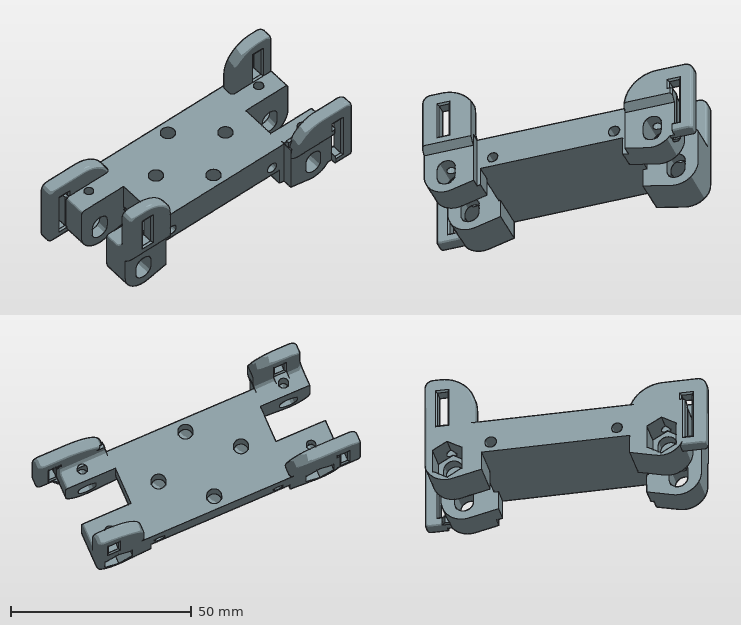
import cadquery as cq
import math

TOTAL_LENGTH = 86.1
OVERHANG_END = TOTAL_LENGTH / 2
OVERALL_WIDTH = 32.1
OVERALL_HEIGHT = 33.0

BODY_END = 37.0
DECK_WIDTH = 27.2
DECK_TOP = 17.5
DECK_BOTTOM = 7.6
NOTCH_END = 22.0
NOTCH_LEFT = 11.0
NOTCH_RIGHT = 21.9
FOOT_RIGHT = 30.1
FOOT_RADIUS = 6.55
FOOT_EDGE_Z = 2.1
FOOT_INNER_FRONT = 21.45
FOOT_INNER_BACK = 20.7
FOOT_WIDENING_Y = 22.4
EDGE_RADIUS = 1.0

BOLT_Y = BODY_END - FOOT_RADIUS
BOLT_Z = FOOT_RADIUS
BOLT_SLOT_WIDTH = 5.3
BOLT_SLOT_HEIGHT = 7.8
NUT_FLATS = 8.35
NUT_POCKET_HEIGHT = 11.5
NUT_POCKET_DEPTH = 7.75

DECK_HOLE_DIAMETER = 4.2
DECK_HOLE_DEPTH = 6.9
DRILL_POINT_ANGLE = 118.0
DECK_HOLE_SPREAD_X = 10.0
DECK_HOLE_SPREAD_Y = 12.5
CROSS_HOLE_Z = 10.5
CROSS_HOLE_BACK_Y = 18.1
CROSS_HOLE_FRONT_Y = -17.8
CROSS_HOLE_BACK_DIAMETER = 3.3
CROSS_HOLE_FRONT_DIAMETER = 3.0
LEFT_SMALL_HOLE_X = 6.2
RIGHT_SMALL_HOLE_X = 25.3
SMALL_HOLE_DIAMETER = 2.8
FRONT_LEFT_SMALL_HOLE_DIAMETER = 2.7

LEFT_PLATE_THICKNESS = 4.2
RIGHT_PLATE_INNER = 28.1
PLATE_INNER_Y = 22.5
PLATE_ARC_RADIUS = 10.1
PLATE_CORNER_RADIUS = 2.5
OVERHANG_BOTTOM = 2.6
FRONT_OVERHANG_TOP = 23.9
BACK_OVERHANG_TOP = 25.0
BACK_ARC_Y = PLATE_INNER_Y + PLATE_ARC_RADIUS
FRONT_LEFT_ARC_Y = 30.75
FRONT_RIGHT_ARC_Y = 31.3
PLATE_UNDERCUT_Z = 13.8
ROOT_RADIUS = 2.1
WEB_CHAMFER = 1.1

STRAP_CHAMFER = 0.5
STRAP_WIDTH = 2.9
UPRIGHT_STRAP_TOP = 28.6
BACK_UPRIGHT_STRAP_Y = 31.9
FRONT_UPRIGHT_STRAP_Y = 30.6
OVERHANG_STRAP_BOTTOM = 5.4
OVERHANG_STRAP_OUTER = 39.1
OVERHANG_STRAP_INNER = 36.1
OVERHANG_STRAP_DROP = 5.0

GROOVE_HEIGHT = 1.1
GROOVE_DEPTH = 0.5

FRONT = -1
BACK = 1


def box(x0, x1, y0, y1, z0, z1):
    return cq.Workplane("XY").box(x1 - x0, y1 - y0, z1 - z0, centered=False).translate((x0, y0, z0))


def side_plane(x):
    """Sketch plane whose local axes are Y and Z, extruding toward +X."""
    return cq.Workplane("YZ", origin=(x, 0, 0))


def foot(side, x0, x1, inner_y):
    """Foot with a round outer end and a bottom line tangent to that rounding."""
    reach = BOLT_Y - inner_y
    drop = BOLT_Z - FOOT_EDGE_Z
    tangent_angle = math.atan2(drop, reach) + math.acos(FOOT_RADIUS / math.hypot(reach, drop))
    tangent = (
        side * (BOLT_Y - FOOT_RADIUS * math.cos(tangent_angle)),
        BOLT_Z - FOOT_RADIUS * math.sin(tangent_angle),
    )
    arc_middle = (
        side * (BOLT_Y + FOOT_RADIUS * math.sqrt(0.5)),
        BOLT_Z - FOOT_RADIUS * math.sqrt(0.5),
    )
    solid = (
        side_plane(x0)
        .moveTo(side * inner_y, DECK_TOP)
        .lineTo(side * inner_y, FOOT_EDGE_Z)
        .lineTo(*tangent)
        .threePointArc(arc_middle, (side * BODY_END, BOLT_Z))
        .lineTo(side * BODY_END, DECK_TOP)
        .close()
        .extrude(x1 - x0)
    )
    end_face = ">Y" if side == BACK else "<Y"
    return solid.faces(end_face).edges(">Z").fillet(EDGE_RADIUS)


def plate(side, x0, x1, end_y, top, bottom, arc_y, inner_y=PLATE_INNER_Y):
    """End plate with a large inboard arc, a small outer corner and rounded rims."""
    arc_center_z = top - PLATE_ARC_RADIUS
    arc_reach = min(arc_y - inner_y, PLATE_ARC_RADIUS)
    arc_end_z = arc_center_z + math.sqrt(PLATE_ARC_RADIUS**2 - arc_reach**2)
    half_angle = math.asin(arc_reach / PLATE_ARC_RADIUS) / 2
    arc_middle = (
        side * (arc_y - PLATE_ARC_RADIUS * math.sin(half_angle)),
        arc_center_z + PLATE_ARC_RADIUS * math.cos(half_angle),
    )
    corner_inset = PLATE_CORNER_RADIUS * (1 - math.sqrt(0.5))
    solid = (
        side_plane(x0)
        .moveTo(side * inner_y, bottom)
        .lineTo(side * inner_y, arc_end_z)
        .threePointArc(arc_middle, (side * arc_y, top))
        .lineTo(side * (end_y - PLATE_CORNER_RADIUS), top)
        .threePointArc(
            (side * (end_y - corner_inset), top - corner_inset),
            (side * end_y, top - PLATE_CORNER_RADIUS),
        )
        .lineTo(side * end_y, bottom)
        .close()
        .extrude(x1 - x0)
    )
    end_side = ">Y" if side == BACK else "<Y"
    bottom_end = solid.faces("<Z").edges(end_side)
    return solid.faces("<X or >X").edges().add(bottom_end).fillet(EDGE_RADIUS)


def plate_root(side):
    """Concave fillet between the deck and a right plate, rounded at its outer end."""
    start_x = RIGHT_PLATE_INNER - ROOT_RADIUS
    center_z = DECK_TOP + ROOT_RADIUS
    buried_x = RIGHT_PLATE_INNER + EDGE_RADIUS
    buried_z = DECK_TOP - 2 * EDGE_RADIUS
    arc_middle = (
        start_x + ROOT_RADIUS * math.sqrt(0.5),
        center_z - ROOT_RADIUS * math.sqrt(0.5),
    )
    solid = (
        cq.Workplane("XZ", origin=(0, side * BODY_END, 0))
        .moveTo(start_x, buried_z)
        .lineTo(start_x, DECK_TOP)
        .threePointArc(arc_middle, (RIGHT_PLATE_INNER, center_z))
        .lineTo(buried_x, center_z)
        .lineTo(buried_x, buried_z)
        .close()
        .extrude(side * (BODY_END - PLATE_INNER_Y))
    )
    end_face = ">Y" if side == BACK else "<Y"
    return solid.faces(end_face).edges("%CIRCLE").fillet(EDGE_RADIUS)


def strap_slot(x0, x1, y0, y1, z0, z1):
    """Rectangular slot through a plate, chamfered at both mouths."""
    center = ((y0 + y1) / 2, (z0 + z1) / 2)
    width = y1 - y0 + 2 * STRAP_CHAMFER
    height = z1 - z0 + 2 * STRAP_CHAMFER
    near_mouth = side_plane(x0).center(*center).rect(width, height).extrude(STRAP_CHAMFER, taper=45)
    far_mouth = side_plane(x1).center(*center).rect(width, height).extrude(-STRAP_CHAMFER, taper=45)
    return box(x0, x1, y0, y1, z0, z1).union(near_mouth).union(far_mouth)


def upright_strap_slot(side, x0, x1, center_y):
    middle = side * center_y
    return strap_slot(
        x0, x1, middle - STRAP_WIDTH / 2, middle + STRAP_WIDTH / 2,
        DECK_TOP + STRAP_CHAMFER, UPRIGHT_STRAP_TOP,
    )


def overhang_strap_slot(side, x0, x1, plate_top):
    """Slot that reaches the foot end, and a little further inboard above the deck."""
    slot_top = plate_top - OVERHANG_STRAP_DROP
    y0, y1 = sorted((side * BODY_END, side * OVERHANG_STRAP_OUTER))
    slot = strap_slot(x0, x1, y0, y1, OVERHANG_STRAP_BOTTOM, slot_top)
    y0, y1 = sorted((side * OVERHANG_STRAP_INNER, side * OVERHANG_STRAP_OUTER))
    upper = strap_slot(x0, x1, y0, y1, OVERHANG_STRAP_BOTTOM, slot_top)
    above_deck = box(x0, x1, -OVERHANG_END, OVERHANG_END, DECK_TOP, OVERALL_HEIGHT)
    return slot.union(upper.intersect(above_deck))


def bolt_cuts(side):
    """Bolt slot through both feet, with a tall hexagonal nut pocket on the left."""
    slot = (
        side_plane(0).center(side * BOLT_Y, BOLT_Z)
        .slot2D(BOLT_SLOT_HEIGHT, BOLT_SLOT_WIDTH, 90)
        .extrude(OVERALL_WIDTH)
    )
    half_flats = NUT_FLATS / 2
    half_height = NUT_POCKET_HEIGHT / 2
    shoulder = half_height - half_flats * math.tan(math.radians(30))
    pocket = (
        side_plane(0).center(side * BOLT_Y, BOLT_Z)
        .polyline([
            (0, half_height), (half_flats, shoulder), (half_flats, -shoulder),
            (0, -half_height), (-half_flats, -shoulder), (-half_flats, shoulder),
        ])
        .close()
        .extrude(NUT_POCKET_DEPTH)
    )
    return slot.union(pocket)


def cross_hole(y, diameter):
    return side_plane(0).center(y, CROSS_HOLE_Z).circle(diameter / 2).extrude(OVERALL_WIDTH)


def small_hole(x, y, diameter):
    """Vertical hole from the deck down into a bolt slot."""
    start = cq.Workplane("XY", origin=(x, y, BOLT_Z))
    return start.circle(diameter / 2).extrude(DECK_TOP - BOLT_Z)


def deck_hole(x, y):
    """Blind drilled hole with a conical bottom."""
    radius = DECK_HOLE_DIAMETER / 2
    shoulder_z = DECK_TOP - DECK_HOLE_DEPTH
    tip_z = shoulder_z - radius / math.tan(math.radians(DRILL_POINT_ANGLE / 2))
    return (
        cq.Workplane("XZ", origin=(x, y, 0))
        .polyline([(0, tip_z), (radius, shoulder_z), (radius, DECK_TOP), (0, DECK_TOP)])
        .close()
        .revolve(360, (0, 0, 0), (0, 1, 0))
    )


result = box(0, DECK_WIDTH, -NOTCH_END, NOTCH_END, DECK_BOTTOM, DECK_TOP)
for side, inner_y in ((FRONT, FOOT_INNER_FRONT), (BACK, FOOT_INNER_BACK)):
    wide_part = foot(side, NOTCH_RIGHT, FOOT_RIGHT, inner_y)
    y0, y1 = sorted((0, side * FOOT_WIDENING_Y))
    wide_part = wide_part.cut(box(DECK_WIDTH, FOOT_RIGHT, y0, y1, 0, DECK_TOP))
    result = result.union(foot(side, 0, NOTCH_LEFT, inner_y)).union(wide_part)

corner = box(0, EDGE_RADIUS, BODY_END - EDGE_RADIUS, BODY_END, 0, DECK_TOP)
corner = corner.cut(
    cq.Workplane("XY")
    .center(EDGE_RADIUS, BODY_END - EDGE_RADIUS)
    .circle(EDGE_RADIUS)
    .extrude(DECK_TOP)
)
result = result.cut(corner)

result = result.union(
    plate(BACK, 0, LEFT_PLATE_THICKNESS, BODY_END, OVERALL_HEIGHT, BOLT_Z, BACK_ARC_Y)
)
front_left = plate(
    FRONT, 0, LEFT_PLATE_THICKNESS, OVERHANG_END, FRONT_OVERHANG_TOP, OVERHANG_BOTTOM,
    FRONT_LEFT_ARC_Y, inner_y=FOOT_INNER_FRONT,
)
result = result.union(front_left)

back_right = plate(
    BACK, RIGHT_PLATE_INNER, OVERALL_WIDTH, OVERHANG_END, BACK_OVERHANG_TOP, OVERHANG_BOTTOM, BACK_ARC_Y
)
front_right = plate(
    FRONT, RIGHT_PLATE_INNER, OVERALL_WIDTH, BODY_END, OVERALL_HEIGHT, BOLT_Z,
    FRONT_RIGHT_ARC_Y, inner_y=FRONT_RIGHT_ARC_Y - PLATE_ARC_RADIUS,
)
trim = box(RIGHT_PLATE_INNER, OVERALL_WIDTH, -PLATE_INNER_Y, 0, 0, OVERALL_HEIGHT)
front_right = front_right.cut(trim)

ledge = OVERALL_WIDTH - FOOT_RIGHT
undercut = (
    cq.Workplane("XZ", origin=(0, BODY_END, 0))
    .polyline([
        (FOOT_RIGHT, 0), (FOOT_RIGHT, PLATE_UNDERCUT_Z),
        (OVERALL_WIDTH, PLATE_UNDERCUT_Z + ledge), (OVERALL_WIDTH, 0),
    ])
    .close()
    .extrude(2 * BODY_END)
)
result = result.union(back_right.cut(undercut)).union(front_right.cut(undercut))
for side in (FRONT, BACK):
    result = result.union(plate_root(side))

web = (
    cq.Workplane("XY", origin=(0, 0, OVERHANG_BOTTOM))
    .polyline([
        (RIGHT_PLATE_INNER - WEB_CHAMFER, BODY_END), (RIGHT_PLATE_INNER, BODY_END + WEB_CHAMFER),
        (RIGHT_PLATE_INNER, BOLT_Y), (RIGHT_PLATE_INNER - WEB_CHAMFER, BOLT_Y),
    ])
    .close()
    .extrude(OVERHANG_STRAP_BOTTOM - STRAP_CHAMFER - OVERHANG_BOTTOM)
)
result = result.union(web)

result = result.cut(upright_strap_slot(BACK, 0, LEFT_PLATE_THICKNESS, BACK_UPRIGHT_STRAP_Y))
result = result.cut(upright_strap_slot(FRONT, RIGHT_PLATE_INNER, OVERALL_WIDTH, FRONT_UPRIGHT_STRAP_Y))
root_gap_start = -FRONT_UPRIGHT_STRAP_Y - STRAP_WIDTH / 2 - STRAP_CHAMFER
root_gap_end = -FRONT_UPRIGHT_STRAP_Y + STRAP_WIDTH / 2 + STRAP_CHAMFER
result = result.cut(
    box(
        RIGHT_PLATE_INNER - ROOT_RADIUS, RIGHT_PLATE_INNER, root_gap_start, root_gap_end,
        DECK_TOP, DECK_TOP + ROOT_RADIUS,
    )
)
result = result.cut(overhang_strap_slot(FRONT, 0, LEFT_PLATE_THICKNESS, FRONT_OVERHANG_TOP))
result = result.cut(overhang_strap_slot(BACK, RIGHT_PLATE_INNER, OVERALL_WIDTH, BACK_OVERHANG_TOP))

for side in (FRONT, BACK):
    left_diameter = FRONT_LEFT_SMALL_HOLE_DIAMETER if side == FRONT else SMALL_HOLE_DIAMETER
    result = result.cut(bolt_cuts(side))
    result = result.cut(small_hole(LEFT_SMALL_HOLE_X, side * BOLT_Y, left_diameter))
    result = result.cut(small_hole(RIGHT_SMALL_HOLE_X, side * BOLT_Y, SMALL_HOLE_DIAMETER))
    result = result.cut(deck_hole(DECK_WIDTH / 2, side * DECK_HOLE_SPREAD_Y))
    result = result.cut(deck_hole(DECK_WIDTH / 2 + side * DECK_HOLE_SPREAD_X, 0))
result = result.cut(cross_hole(CROSS_HOLE_BACK_Y, CROSS_HOLE_BACK_DIAMETER))
result = result.cut(cross_hole(CROSS_HOLE_FRONT_Y, CROSS_HOLE_FRONT_DIAMETER))

groove = (
    side_plane(NOTCH_LEFT)
    .polyline([
        (-NOTCH_END, DECK_BOTTOM), (-NOTCH_END, DECK_BOTTOM + GROOVE_HEIGHT),
        (-NOTCH_END + GROOVE_DEPTH, DECK_BOTTOM + GROOVE_HEIGHT / 2),
    ])
    .close()
    .extrude(NOTCH_RIGHT - NOTCH_LEFT)
)
result = result.cut(groove)